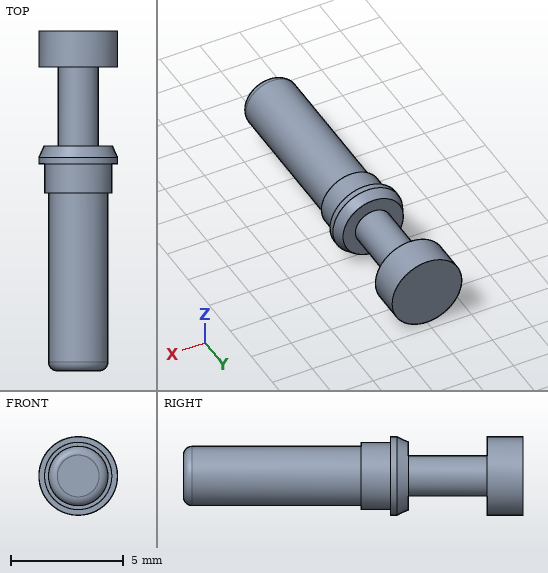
import cadquery as cq

total_length = 15.1
head_length = 1.6
neck_length = 3.5
flange_taper_length = 0.51
flange_rim_length = 0.29
collar_length = 1.3

head_diameter = 3.5
neck_diameter = 1.8
flange_diameter = head_diameter
flange_taper_diameter = 3.04
collar_diameter = 2.99
pin_diameter = 2.65

tip_fillet = 0.4

head_start = total_length - head_length
neck_start = head_start - neck_length
taper_start = neck_start - flange_taper_length
flange_start = taper_start - flange_rim_length
collar_start = flange_start - collar_length


def cylinder(start, end, diameter):
    """Solid round section along +Y between two axial stations."""
    base = cq.Workplane("XZ", origin=(0, start, 0))
    return base.circle(diameter / 2).extrude(start - end)


def tapered_flange():
    """Flange with a straight rim and a conical face towards the neck."""
    profile = (
        cq.Workplane("XY")
        .moveTo(0, flange_start)
        .lineTo(flange_diameter / 2, flange_start)
        .lineTo(flange_diameter / 2, taper_start)
        .lineTo(flange_taper_diameter / 2, neck_start)
        .lineTo(0, neck_start)
        .close()
    )
    return profile.revolve(360, (0, 0, 0), (0, 1, 0))


pin = cylinder(0, collar_start, pin_diameter).faces("<Y").edges().fillet(tip_fillet)
collar = cylinder(collar_start, flange_start, collar_diameter)
neck = cylinder(neck_start, head_start, neck_diameter)
head = cylinder(head_start, total_length, head_diameter)

result = pin.union(collar).union(tapered_flange()).union(neck).union(head)